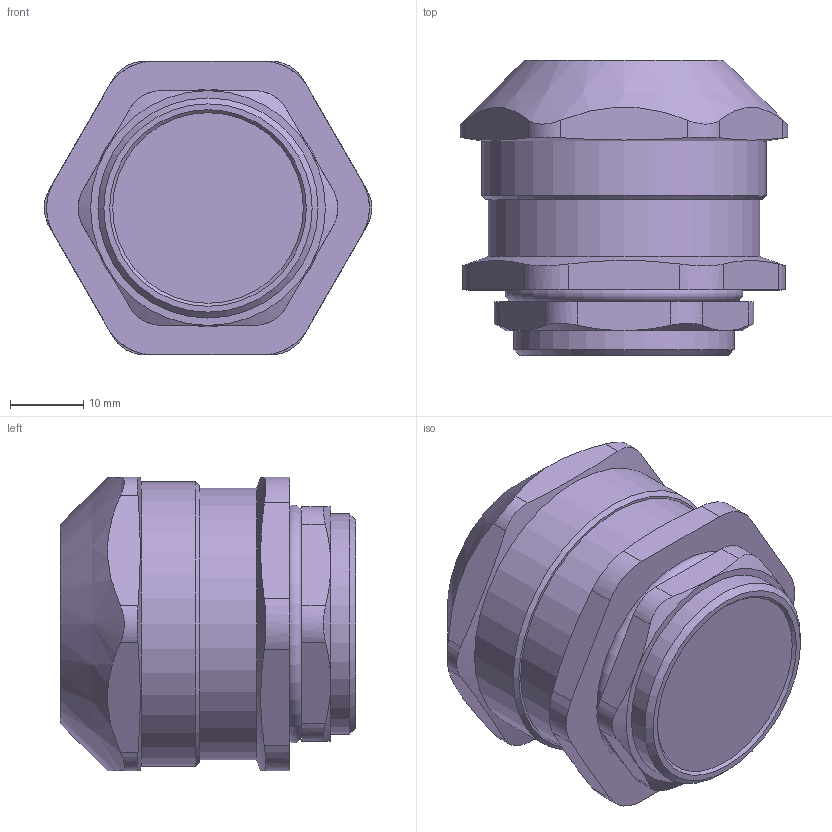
import cadquery as cq
import math


tip_length = 3.4
locknut_thickness = 3.95
seal_gap = 1.6
flange_cone_end = 13.5
collar_start = 21.25
cap_start = 29.25
overall_length = 40.25

tip_diameter = 30.0
tip_chamfer = 0.8
recess_floor_diameter = 26.0
recess_mouth_diameter = 26.8
recess_depth = 0.4

locknut_across_flats = 32.0
locknut_corner_radius = 5.0
locknut_bevel_angle = 30.0

seal_diameter = 32.4
seal_section_radius = 1.25
seal_center_offset = 1.15

flange_across_flats = 40.0
flange_corner_radius = 7.0
flange_bevel_angle = 20.0
body_diameter = 37.0
collar_diameter = 38.8
collar_chamfer = 0.55

cap_across_flats = 40.0
cap_corner_radius = 5.0
cap_base_bevel_angle = 10.0
cap_end_diameter = 27.2
cap_cone_angle = 45.0

locknut_end = tip_length + locknut_thickness
flange_start = locknut_end + seal_gap


def revolve_profile(points):
    """Revolve a closed (radius, station) outline about the Y axis."""
    return cq.Workplane("XY").polyline(points).close().revolve(360, (0, 0, 0), (0, 1, 0))


def disc(diameter, start, end):
    """Cylinder on the Y axis between two stations."""
    radius = diameter / 2
    return revolve_profile([(0, start), (radius, start), (radius, end), (0, end)])


def hex_prism(across_flats, corner_radius, start, end):
    """Hexagonal prism with rounded corners and two flats facing +Z and -Z."""
    across_corners = across_flats / math.cos(math.radians(30))
    prism = cq.Workplane("XZ", origin=(0, start, 0)).polygon(6, across_corners).extrude(start - end)
    return prism.edges("|Y").fillet(corner_radius)


def bevel_rise(angle, radial_distance):
    """Axial travel of a cone that is tilted by angle from the end plane."""
    return radial_distance * math.tan(math.radians(angle))


def make_tip():
    tip = disc(tip_diameter, 0, flange_start).faces("<Y").chamfer(tip_chamfer)
    recess = revolve_profile([
        (0, 0),
        (recess_mouth_diameter / 2, 0),
        (recess_floor_diameter / 2, recess_depth),
        (0, recess_depth),
    ])
    return tip.cut(recess)


def make_locknut():
    """Hexagon nut whose tip-side corners are bevelled from the inscribed circle."""
    inner = locknut_across_flats / 2
    outer = locknut_across_flats / math.sqrt(3)
    envelope = revolve_profile([
        (0, tip_length),
        (inner, tip_length),
        (outer, tip_length + bevel_rise(locknut_bevel_angle, outer - inner)),
        (outer, locknut_end),
        (0, locknut_end),
    ])
    prism = hex_prism(locknut_across_flats, locknut_corner_radius, tip_length, locknut_end)
    return prism.intersect(envelope)


def make_seal():
    """O-ring squeezed between locknut and flange; only its outer half stands clear of the tip."""
    center_radius = seal_diameter / 2 - seal_section_radius
    center_station = locknut_end + seal_center_offset
    return (
        cq.Workplane("XY")
        .moveTo(center_radius, center_station - seal_section_radius)
        .threePointArc(
            (seal_diameter / 2, center_station),
            (center_radius, center_station + seal_section_radius),
        )
        .close()
        .revolve(360, (0, 0, 0), (0, 1, 0))
    )


def make_flange():
    """Hexagonal flange with a shallow cone rising to the body."""
    inner = body_diameter / 2
    outer = flange_across_flats / math.sqrt(3)
    envelope = revolve_profile([
        (0, flange_start),
        (outer, flange_start),
        (outer, flange_cone_end - bevel_rise(flange_bevel_angle, outer - inner)),
        (inner, flange_cone_end),
        (0, flange_cone_end),
    ])
    prism = hex_prism(flange_across_flats, flange_corner_radius, flange_start, flange_cone_end)
    return prism.intersect(envelope)


def make_body():
    body = disc(body_diameter, flange_cone_end, collar_start)
    collar = disc(collar_diameter, collar_start, cap_start).faces("<Y").chamfer(collar_chamfer)
    return body.union(collar)


def make_cap():
    """Cap nut: a hexagon bevelled outward from the collar and turned to a cone at its end."""
    base = collar_diameter / 2
    outer = cap_across_flats / math.sqrt(3)
    end = cap_end_diameter / 2
    envelope = revolve_profile([
        (0, cap_start),
        (base, cap_start),
        (outer, cap_start + bevel_rise(cap_base_bevel_angle, outer - base)),
        (outer, overall_length - bevel_rise(cap_cone_angle, outer - end)),
        (end, overall_length),
        (0, overall_length),
    ])
    prism = hex_prism(cap_across_flats, cap_corner_radius, cap_start, overall_length)
    return prism.intersect(envelope)


result = make_tip()
for section in (make_locknut(), make_seal(), make_flange(), make_body(), make_cap()):
    result = result.union(section)